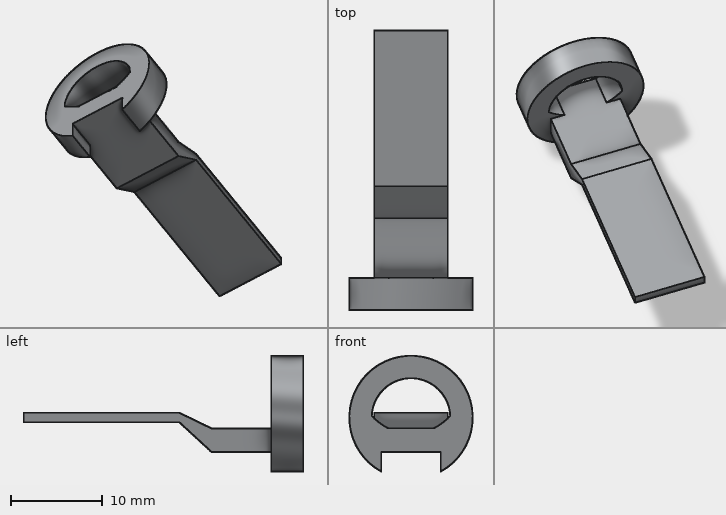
import cadquery as cq
import math

length = 30.5
ring_radius = 6.75
ring_thickness = 3.5

opening_radius = 4.27
opening_corner_z = 0.18
lower_arc_center_z = 3.95

notch_width = 6.47
arm_width = 8.05
seat_top_z = -1.2
seat_bottom_z = -3.78
bend_start_y = 10.0
bend_end_y = 13.5
blade_top_z = 0.52
blade_thickness = 1.07


def opening_outline():
    """Upper circular arc, two lower arcs and a flat floor, drawn in XZ."""
    corner_x = math.sqrt(opening_radius**2 - opening_corner_z**2)
    lower_radius = math.hypot(corner_x, lower_arc_center_z - opening_corner_z)
    floor_x = math.sqrt(lower_radius**2 - (lower_arc_center_z - seat_top_z)**2)
    middle_x = (corner_x + floor_x) / 2
    middle_z = lower_arc_center_z - math.sqrt(lower_radius**2 - middle_x**2)
    return (
        cq.Workplane("XZ")
        .moveTo(-corner_x, opening_corner_z)
        .threePointArc((0, opening_radius), (corner_x, opening_corner_z))
        .threePointArc((middle_x, middle_z), (floor_x, seat_top_z))
        .lineTo(-floor_x, seat_top_z)
        .threePointArc((-middle_x, middle_z), (-corner_x, opening_corner_z))
        .close()
    )


def make_ring():
    """Disc with a through opening and a notch cut up from its lower edge."""
    disc = cq.Workplane("XZ").circle(ring_radius).extrude(-ring_thickness)
    opening = opening_outline().extrude(-ring_thickness)
    notch_height = ring_radius + seat_bottom_z
    notch = cq.Workplane("XY").box(
        notch_width, ring_thickness, notch_height, centered=(True, False, False)
    ).translate((0, 0, -ring_radius))
    return disc.cut(opening).cut(notch)


def make_arm():
    """Cranked arm: thick low section, tapering bend and thin raised blade."""
    blade_bottom_z = blade_top_z - blade_thickness
    profile = [
        (ring_thickness, seat_bottom_z),
        (bend_start_y, seat_bottom_z),
        (bend_end_y, blade_bottom_z),
        (length, blade_bottom_z),
        (length, blade_top_z),
        (bend_end_y, blade_top_z),
        (bend_start_y, seat_top_z),
        (ring_thickness, seat_top_z),
    ]
    return cq.Workplane("YZ").polyline(profile).close().extrude(arm_width / 2, both=True)


result = make_ring().union(make_arm())